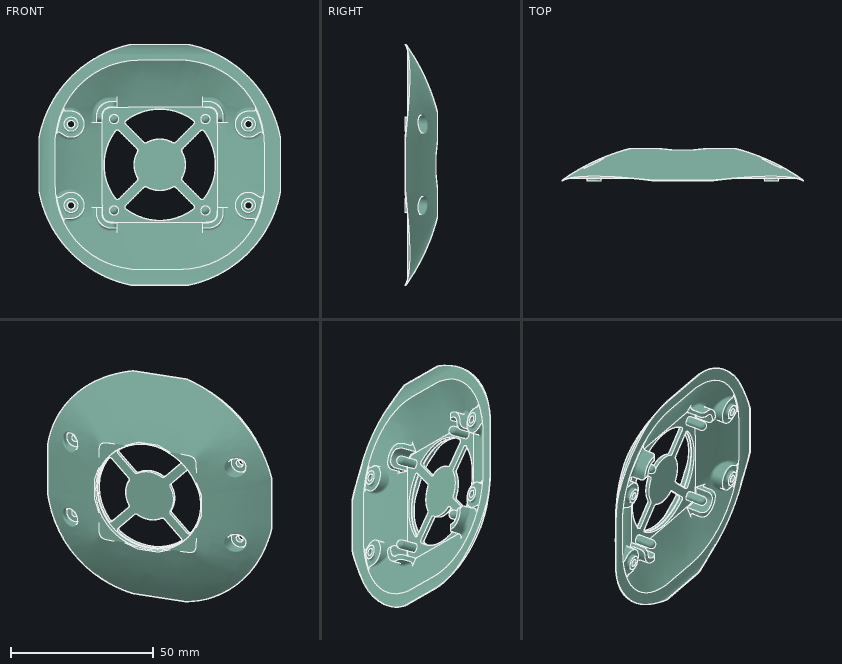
import cadquery as cq
import math


WIDTH_X = 84.8
WIDTH_Z = 84.55
DEPTH = 11.5
BACK_Y = DEPTH / 2
FRONT_Y = -DEPTH / 2

FLAT_HALF = 9.5
RIM_DIAGONAL = 43.85
RIM_FACE_Y = -4.75
RIM_FACE_HALF = 38.85

DOME_RADIUS = 72.9
DOME_CENTRE_Y = -64.8
SHELL_THICKNESS = 2.55
CAVITY_RADIUS = DOME_RADIUS - SHELL_THICKNESS

FLAT_BACK = 3.7
FLAT_DOME_RIM = 7.8
FLAT_CAVITY_RIM = 6.8
DOME_MID_SHARE = 0.5
CAVITY_MID_SHARE = 0.33

POWER_BACK = 12.0
POWER_MID = 2.5
POWER_RIM = 2.03
MID_Y = 0.7
CORNER_STEPS = 12

PLATE_HALF = 20.35
PLATE_CORNER = 3.4
PLATE_FRONT_Y = 2.6
GRILLE_THICKNESS = 1.35
OPENING_RADIUS = 19.5
POCKET_RADIUS = 19.85
HUB_RADIUS = 9.1
SPOKE_WIDTH = 3.3
WINDOW_FILLET = 0.85

DIP_DEPTH = 0.5
DIP_BOTTOM_HALF = 3.7
DIP_TOP_HALF = 8.5

PIN_OFFSET = 16.0
PIN_RADIUS = 1.6
PIN_LENGTH = 7.2
PIN_ROUND = 0.98 * PIN_RADIUS

BRACKET_WALL = 1.9
BRACKET_END = 2.0
BRACKET_FRONT_Y = -4.5
BRACKET_ROUND = 1.9
BRACKET_FOOT = 1.1
BRACKET_CENTRE = PLATE_HALF - PLATE_CORNER
BRACKET_START = BRACKET_CENTRE - BRACKET_END

BOSS_X = 31.1
BOSS_Z = 14.25
BOSS_RADIUS = 4.6
BOSS_FACE_Y = -4.6
BOSS_FOOT = 1.0
TIP_RADIUS = 2.5
TIP_FLARE = 0.85
SCREW_RADIUS = 1.3
HEAD_RADIUS = 3.1
HEAD_ROUND = 0.5
HEAD_SEAT_Y = -3.4

QUARTERS = [(sx, sz) for sx in (-1, 1) for sz in (-1, 1)]


def plane_at(y, x=0, z=0):
    """Workplane that extrudes towards -Y, with its local axes along X and Z."""
    return cq.Workplane("XZ", origin=(x, y, z))


def to_quarter(shape, sx, sz):
    """Mirror a shape from the +X +Z quarter into another quarter."""
    if sx < 0:
        shape = shape.mirror("YZ")
    if sz < 0:
        shape = shape.mirror("XY")
    return shape


def free_edges(body, low, high):
    """Edges on the doubly curved walls whose centres lie between two opposite corners of a box."""
    return body.edges("%BSPLINE").edges(cq.selectors.BoxSelector(low, high))




def section_wire(y, half, flat, power):
    """Cross-section of this half width: four straight sides joined by superelliptic corners."""
    quarter_turns = [(1, 0), (0, 1), (-1, 0), (0, -1)]

    def vector(u, v, turn, height=0.0):
        c, s = quarter_turns[turn % 4]
        return cq.Vector(c * u - s * v, height, s * u + c * v)

    def corner_point(step, turn):
        angle = math.pi / 2 * step / CORNER_STEPS
        u = flat + (half - flat) * abs(math.cos(angle)) ** (2 / power)
        v = flat + (half - flat) * abs(math.sin(angle)) ** (2 / power)
        return vector(u, v, turn, y)

    edges = []
    for turn in range(4):
        points = [corner_point(step, turn) for step in range(CORNER_STEPS + 1)]
        tangents = [vector(0, 1, turn), vector(-1, 0, turn)]
        edges.append(cq.Edge.makeSpline(points, tangents=tangents))
        edges.append(cq.Edge.makeLine(points[-1], corner_point(0, turn + 1)))
    return cq.Wire.assembleEdges(edges)


def bowl(radius, back_y, front_y, front_flat, mid_share):
    """Solid that grows from a nearly square back to a round front along an arc of this radius."""
    mid_flat = mid_share * front_flat + (1 - mid_share) * FLAT_BACK
    stations = [
        (back_y, FLAT_BACK, POWER_BACK),
        (MID_Y, mid_flat, POWER_MID),
        (front_y, front_flat, POWER_RIM),
    ]
    wires = []
    for y, flat, power in stations:
        half = math.sqrt(radius**2 - (y - DOME_CENTRE_Y) ** 2)
        wires.append(section_wire(y, half, flat, power))
    return cq.Workplane(cq.Solid.makeLoft(wires))


def make_rim_blank():
    """Block with the outline of the rim."""
    half = WIDTH_X / 2
    mid = RIM_DIAGONAL * math.sqrt(0.5)
    outline = (
        plane_at(BACK_Y)
        .moveTo(FLAT_HALF, half)
        .threePointArc((mid, mid), (half, FLAT_HALF))
        .lineTo(half, -FLAT_HALF)
        .threePointArc((mid, -mid), (FLAT_HALF, -half))
        .lineTo(-FLAT_HALF, -half)
        .threePointArc((-mid, -mid), (-half, -FLAT_HALF))
        .lineTo(-half, FLAT_HALF)
        .threePointArc((-mid, mid), (-FLAT_HALF, half))
        .close()
    )
    return outline.extrude(DEPTH).intersect(cq.Workplane("XY").box(WIDTH_X, DEPTH, WIDTH_Z))


def space_before_rim(plane):
    """Space in front of the rim face; at both sides an arc tangent to the face runs to the front."""
    half = WIDTH_X / 2
    run = half - RIM_FACE_HALF
    drop = RIM_FACE_Y - FRONT_Y
    radius = (run**2 + drop**2) / (2 * drop)
    half_turn = math.asin(run / radius) / 2
    mid_x = RIM_FACE_HALF + radius * math.sin(half_turn)
    mid_y = RIM_FACE_Y - radius * (1 - math.cos(half_turn))
    return (
        cq.Workplane(plane)
        .moveTo(-half, FRONT_Y)
        .threePointArc((-mid_x, mid_y), (-RIM_FACE_HALF, RIM_FACE_Y))
        .lineTo(RIM_FACE_HALF, RIM_FACE_Y)
        .threePointArc((mid_x, mid_y), (half, FRONT_Y))
        .close()
        .extrude(WIDTH_X, both=True)
    )




def make_dip(plane):
    """Shallow channel with sloping sides across the middle of the back."""
    floor_y = BACK_Y - DIP_DEPTH
    profile = [
        (-DIP_TOP_HALF, BACK_Y),
        (-DIP_BOTTOM_HALF, floor_y),
        (DIP_BOTTOM_HALF, floor_y),
        (DIP_TOP_HALF, BACK_Y),
    ]
    return cq.Workplane(plane).polyline(profile).close().extrude(WIDTH_X, both=True)


def make_grille():
    """Hub and four diagonal spokes; the windows between them have rounded corners."""
    windows = plane_at(BACK_Y).circle(OPENING_RADIUS).circle(HUB_RADIUS).extrude(DEPTH)
    for angle in (45, 135):
        spoke = cq.Workplane("XY").box(WIDTH_X, 2 * DEPTH, SPOKE_WIDTH)
        windows = windows.cut(spoke.rotate((0, 0, 0), (0, 1, 0), angle))
    windows = windows.edges("|Y").fillet(WINDOW_FILLET)
    disc = plane_at(PLATE_FRONT_Y + GRILLE_THICKNESS).circle(POCKET_RADIUS).extrude(GRILLE_THICKNESS)
    return disc.cut(windows)


def make_pin(sx, sz):
    """Locating pin with a domed end."""
    pin = plane_at(PLATE_FRONT_Y, sx * PIN_OFFSET, sz * PIN_OFFSET).circle(PIN_RADIUS).extrude(PIN_LENGTH)
    return pin.faces("<Y").edges().fillet(PIN_ROUND)




def make_bracket():
    """Wall around the plate corner at +X +Z, with its two ends rounded off at the front."""

    def corner_block(radius):
        side = radius + BRACKET_END
        block = plane_at(BACK_Y, BRACKET_START, BRACKET_START).rect(side, side, centered=False)
        return block.extrude(BACK_Y - BRACKET_FRONT_Y).edges("|Y and >X and >Z").fillet(radius)

    wall = corner_block(PLATE_CORNER + BRACKET_WALL).cut(corner_block(PLATE_CORNER))
    return wall.faces("<X or <Z").edges("<Y").fillet(BRACKET_ROUND)


def add_bracket_foot(body, sx, sz):
    """Fillet between the outside of a bracket and the cavity wall."""
    far = PLATE_HALF + 2 * BRACKET_WALL
    back_limit = PLATE_FRONT_Y - 0.8
    low = (sx * BRACKET_START, 0, sz * BRACKET_START)
    return free_edges(body, low, (sx * far, back_limit, sz * far)).fillet(BRACKET_FOOT)


def make_boss(sx, sz):
    """Plain boss up to its shoulder."""
    return plane_at(BACK_Y, sx * BOSS_X, sz * BOSS_Z).circle(BOSS_RADIUS).extrude(BACK_Y - BOSS_FACE_Y)


def edges_around_boss_axis(body, sx, sz, front_y, back_y):
    """Closed edges around a boss axis on the doubly curved walls, between two depths."""
    x = sx * BOSS_X
    z = sz * BOSS_Z
    reach = SCREW_RADIUS
    return free_edges(body, (x - reach, front_y, z - reach), (x + reach, back_y, z + reach))


def make_tip(sx, sz):
    """Narrow end of a boss, flared where it meets the shoulder."""
    tip = (
        cq.Workplane("XY")
        .moveTo(0, BOSS_FACE_Y)
        .lineTo(TIP_RADIUS + TIP_FLARE, BOSS_FACE_Y)
        .radiusArc((TIP_RADIUS, BOSS_FACE_Y - TIP_FLARE), -TIP_FLARE)
        .lineTo(TIP_RADIUS, FRONT_Y)
        .lineTo(0, FRONT_Y)
        .close()
        .revolve(360, (0, 0, 0), (0, 1, 0))
    )
    return tip.translate((sx * BOSS_X, 0, sz * BOSS_Z))


def make_screw_hole(sx, sz):
    """Screw hole through a boss, counterbored from the back."""
    start = plane_at(BACK_Y, sx * BOSS_X, sz * BOSS_Z)
    counterbore = start.circle(HEAD_RADIUS).extrude(BACK_Y - HEAD_SEAT_Y)
    return counterbore.union(start.circle(SCREW_RADIUS).extrude(DEPTH))



cavity = bowl(CAVITY_RADIUS, PLATE_FRONT_Y, RIM_FACE_Y, FLAT_CAVITY_RIM, CAVITY_MID_SHARE)
for sx, sz in QUARTERS:
    cavity = cavity.cut(to_quarter(make_bracket(), sx, sz))
    cavity = cavity.cut(make_boss(sx, sz))

result = bowl(DOME_RADIUS, BACK_Y, FRONT_Y, FLAT_DOME_RIM, DOME_MID_SHARE).intersect(make_rim_blank())
result = result.cut(space_before_rim("XY").intersect(space_before_rim("ZY")))
result = result.cut(cavity)

for sx, sz in QUARTERS:
    result = edges_around_boss_axis(result, sx, sz, RIM_FACE_Y, PLATE_FRONT_Y).fillet(BOSS_FOOT)
    result = add_bracket_foot(result, sx, sz)

for plane in ("XY", "ZY"):
    result = result.cut(make_dip(plane))
result = result.cut(plane_at(BACK_Y).circle(POCKET_RADIUS).extrude(DEPTH)).union(make_grille())

for sx, sz in QUARTERS:
    result = result.union(make_pin(sx, sz)).union(make_tip(sx, sz))
    result = result.cut(make_screw_hole(sx, sz))
    result = edges_around_boss_axis(result, sx, sz, HEAD_SEAT_Y, BACK_Y).fillet(HEAD_ROUND)